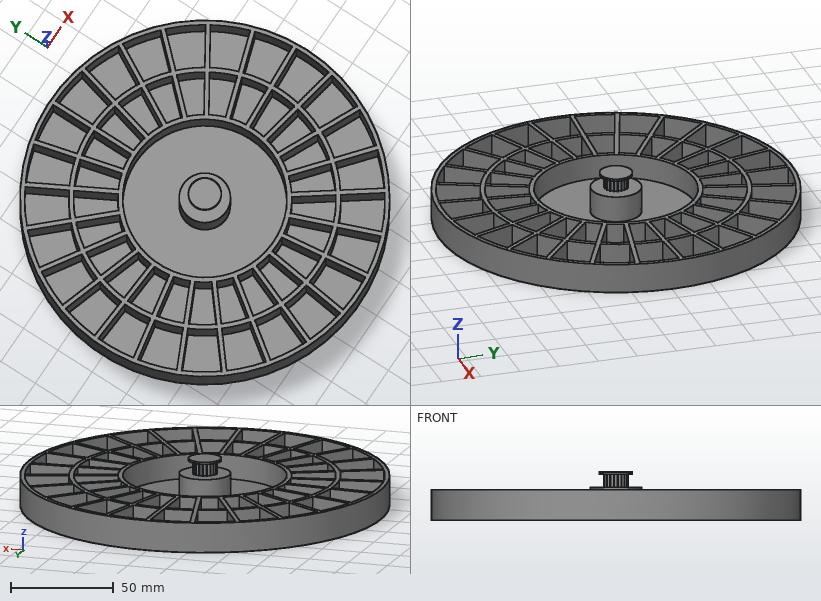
import cadquery as cq

outer_radius = 90.0
body_height = 15.0
floor_thickness = 2.9
wall = 2.3
recess_radius = 40.0
spoke_count = 25

boss_diameter = 25.0
boss_top = 16.0
pulley_diameter = 12.0
tooth_count = 20
groove_radius = 0.75
flange_diameter = 16.0
flange_thickness = 1.0
total_height = 23.5

rib_height = body_height - floor_thickness
rim_inner_radius = outer_radius - wall
inner_ring_radius = recess_radius + wall
middle_ring_radius = (inner_ring_radius + rim_inner_radius) / 2
flange_bottom = total_height - flange_thickness


def disc(diameter, bottom, top):
    """Solid cylinder on the Z axis between two heights."""
    return cq.Workplane("XY").workplane(offset=bottom).circle(diameter / 2).extrude(top - bottom)


def ring(inside_radius):
    """Ring one wall thick, standing on the floor."""
    return (
        cq.Workplane("XY")
        .workplane(offset=floor_thickness)
        .circle(inside_radius + wall)
        .circle(inside_radius)
        .extrude(rib_height)
    )


def spokes():
    """Radial ribs from the inner ring to the rim, the first one along +Y."""
    start = recess_radius + wall / 2
    end = rim_inner_radius + wall / 2
    first = (
        cq.Workplane("XY")
        .box(wall, end - start, rib_height, centered=(True, False, False))
        .translate((0, start, floor_thickness))
    )
    ribs = first
    for index in range(1, spoke_count):
        ribs = ribs.union(first.rotate((0, 0, 0), (0, 0, 1), index * 360 / spoke_count))
    return ribs


def pulley(bottom, top):
    """Cylinder with half-round grooves along its side, the first one on the +X axis."""
    grooves = (
        cq.Workplane("XY")
        .workplane(offset=bottom)
        .polarArray(pulley_diameter / 2, 0, 360, tooth_count)
        .circle(groove_radius)
        .extrude(top - bottom)
    )
    return disc(pulley_diameter, bottom, top).cut(grooves)


body = (
    disc(2 * outer_radius, 0, floor_thickness)
    .union(ring(rim_inner_radius))
    .union(ring(middle_ring_radius - wall / 2))
    .union(ring(recess_radius))
    .union(spokes())
)

hub = (
    disc(boss_diameter, floor_thickness, boss_top)
    .union(pulley(boss_top, flange_bottom))
    .union(disc(flange_diameter, flange_bottom, total_height))
)

result = body.union(hub)